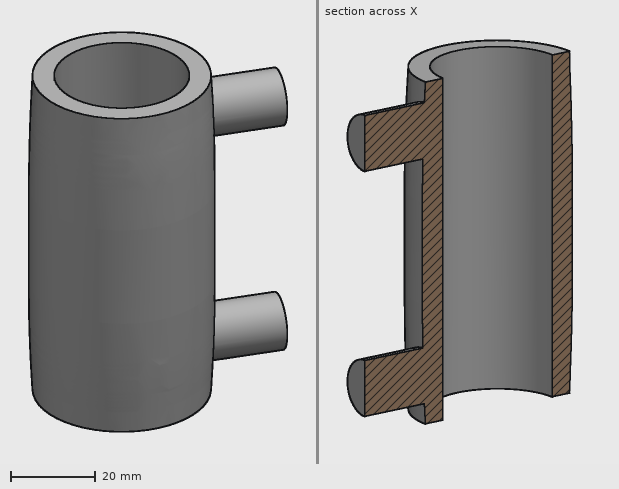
import cadquery as cq
import math

length = 85.0
middle_diameter = 44.3
end_diameter = 42.5
bore_diameter = 32.1
band_height = 25.3

peg_diameter = 14.0
peg_end_y = 39.0
peg_end_offset = 12.1

middle_radius = middle_diameter / 2
end_radius = end_diameter / 2
bore_radius = bore_diameter / 2
band_bottom = (length - band_height) / 2
band_top = band_bottom + band_height

radius_drop = middle_radius - end_radius
arc_radius = (band_bottom**2 + radius_drop**2) / (2 * radius_drop)
arc_mid_reach = band_bottom / 2
arc_mid_radius = middle_radius - arc_radius + math.sqrt(arc_radius**2 - arc_mid_reach**2)


def make_barrel():
    """Solid barrel, revolved from its half section."""
    return (
        cq.Workplane("XZ")
        .lineTo(end_radius, 0)
        .threePointArc((arc_mid_radius, band_bottom - arc_mid_reach), (middle_radius, band_bottom))
        .lineTo(middle_radius, band_top)
        .threePointArc((arc_mid_radius, band_top + arc_mid_reach), (end_radius, length))
        .lineTo(0, length)
        .close()
        .revolve(360, (0, 0, 0), (0, 1, 0))
    )


def make_peg(height):
    """Round peg reaching from the sleeve axis out to +Y."""
    return (
        cq.Workplane("XZ", origin=(0, 0, height))
        .circle(peg_diameter / 2)
        .extrude(-peg_end_y)
    )


body = make_barrel()
for peg_height in (peg_end_offset, length - peg_end_offset):
    body = body.union(make_peg(peg_height))

bore = cq.Workplane("XY").circle(bore_radius).extrude(length)
result = body.cut(bore)